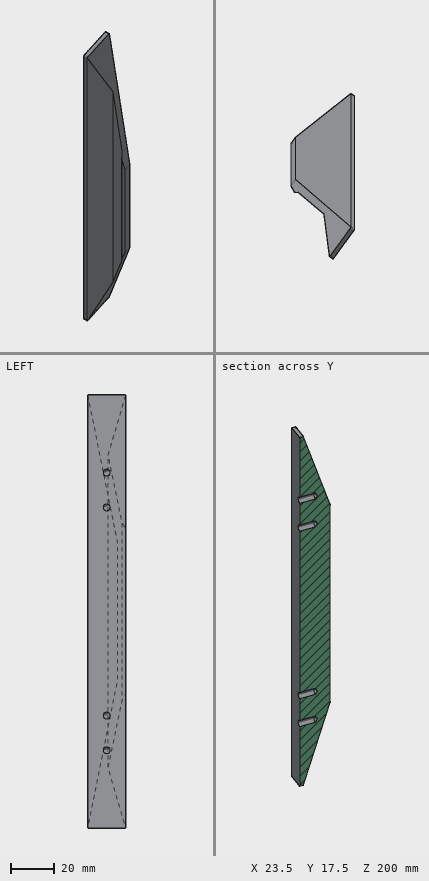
import cadquery as cq
import math

length = 200.0
width = 17.5
reach = 23.5

plate_thickness = 2.0
tip_height = 3.8
tip_width = 2.0
notch_x = 10.8
notch_y = 8.2
lip_x = 20.5
lip_y = 1.8

taper_length = 68.5
corner_radius = 0.5

hole_diameter = 3.2
hole_depth = 8.0
drill_point_angle = 118.0
hole_offsets = (48.0, 64.0)


def make_section():
    """Constant cross-section, extruded along the full length."""
    return (
        cq.Workplane("XY")
        .moveTo(0, 0)
        .lineTo(plate_thickness, 0)
        .lineTo(notch_x, notch_y)
        .lineTo(lip_x, lip_y)
        .lineTo(reach - tip_width, 0)
        .lineTo(reach, 0)
        .lineTo(reach, tip_height)
        .lineTo(plate_thickness, width)
        .lineTo(0, width)
        .close()
        .extrude(length)
    )


def make_side_outline():
    """Trapezoid that tapers both ends of the arm toward its tip."""
    return (
        cq.Workplane("XZ")
        .moveTo(0, 0)
        .lineTo(plate_thickness, 0)
        .lineTo(reach, taper_length)
        .lineTo(reach, length - taper_length)
        .lineTo(plate_thickness, length)
        .lineTo(0, length)
        .close()
        .extrude(-width)
    )


def make_corner_outline():
    """Plate outline with four rounded corners."""
    return (
        cq.Workplane("XY")
        .box(reach, width, length, centered=False)
        .edges("|X")
        .fillet(corner_radius)
    )


def make_hole(z):
    """Drilled hole with a conical bottom, entering the flat face of the plate."""
    radius = hole_diameter / 2
    point_depth = radius / math.tan(math.radians(drill_point_angle / 2))
    return (
        cq.Workplane("XY")
        .moveTo(0, 0)
        .lineTo(0, radius)
        .lineTo(hole_depth, radius)
        .lineTo(hole_depth + point_depth, 0)
        .close()
        .revolve(360, (0, 0, 0), (1, 0, 0))
        .translate((0, width / 2, z))
    )


result = make_section().intersect(make_side_outline()).intersect(make_corner_outline())
for offset in hole_offsets:
    for side in (-1, 1):
        result = result.cut(make_hole(length / 2 + side * offset))